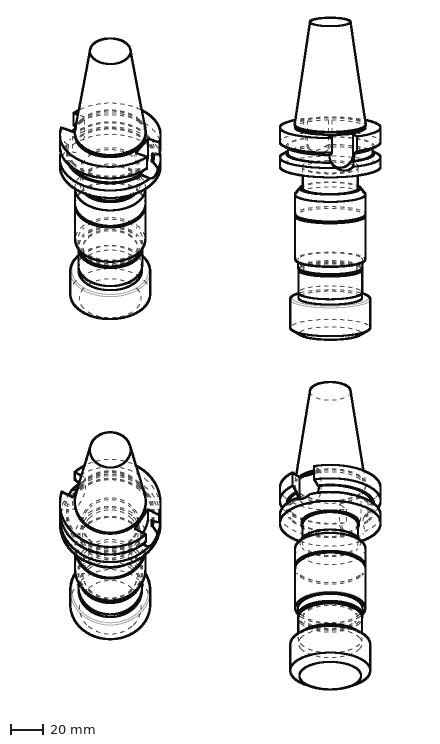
import cadquery as cq
import math

total_height = 198.7

taper_length = 65.4
taper_large_diameter = 44.5
taper_rate = 7 / 24
taper_base_z = total_height - taper_length
taper_small_diameter = taper_large_diameter - taper_rate * taper_length
shank_relief_diameter = 44.0
shank_relief_height = 2.0
shank_relief_chamfer = 0.5

flange_diameter = 63.0
flange_height = 25.0
flange_top_z = taper_base_z - shank_relief_height
flange_bottom_z = flange_top_z - flange_height
lower_rim_height = 6.0
upper_rim_height = 9.3
groove_floor_diameter = 52.9
groove_flank_height = 2.4
groove_flank_angle = 30.0
groove_flank_depth = groove_flank_height / math.tan(math.radians(groove_flank_angle))

slot_width = 16.0
slot_depth = 21.0
slot_floor_x = 22.5

neck_diameter = 34.5
neck_top_chamfer = 0.8

body_diameter = 44.1
body_top_z = 92.5
body_bottom_z = 47.0
body_top_chamfer_width = 3.2
body_top_chamfer_height = 4.0
body_bottom_chamfer_width = 0.2
body_bottom_chamfer_height = 0.8
body_joint_diameter = 44.0
body_joint_top_z = 76.1
body_joint_height = 1.2

collar_diameter = 40.3
collar_bottom_z = 41.5
collar_chamfer = 0.5
parting_groove_diameter = 34.0
sleeve_diameter = 40.0
sleeve_top_z = 40.5
sleeve_bottom_z = 26.0
sleeve_foot_diameter = 39.7

nut_diameter = 50.0
nut_top_z = 22.7
nut_top_fillet = 1.0
nut_bottom_chamfer_width = 5.8
nut_bottom_chamfer_height = 3.5


def ring(diameter, low_z, high_z):
    """Cylinder about Z between two heights."""
    return cq.Workplane("XY").workplane(offset=low_z).circle(diameter / 2).extrude(high_z - low_z)


def revolve_profile(points):
    """Revolve (radius, z) points, listed bottom to top, closed along the Z axis."""
    closed = [(0, points[0][1])] + points + [(0, points[-1][1])]
    return cq.Workplane("XZ").polyline(closed).close().revolve(360, (0, 0), (0, 1))


def make_nut():
    radius = nut_diameter / 2
    nut = revolve_profile([
        (radius - nut_bottom_chamfer_width, 0),
        (radius, nut_bottom_chamfer_height),
        (radius, nut_top_z),
    ])
    return nut.faces(">Z").edges().fillet(nut_top_fillet)


def make_sleeve_and_collar():
    foot = ring(sleeve_foot_diameter, nut_top_z, sleeve_bottom_z)
    sleeve = ring(sleeve_diameter, sleeve_bottom_z, sleeve_top_z)
    parting = ring(parting_groove_diameter, sleeve_top_z, collar_bottom_z)
    collar = ring(collar_diameter, collar_bottom_z, body_bottom_z).faces("<Z").chamfer(collar_chamfer)
    return foot.union(sleeve).union(parting).union(collar)


def make_body():
    radius = body_diameter / 2
    body = revolve_profile([
        (radius - body_bottom_chamfer_width, body_bottom_z),
        (radius, body_bottom_z + body_bottom_chamfer_height),
        (radius, body_top_z - body_top_chamfer_height),
        (radius - body_top_chamfer_width, body_top_z),
    ])
    joint_bottom_z = body_joint_top_z - body_joint_height
    joint_groove = ring(body_diameter, joint_bottom_z, body_joint_top_z).cut(
        ring(body_joint_diameter, joint_bottom_z, body_joint_top_z)
    )
    return body.cut(joint_groove)


def make_neck():
    radius = neck_diameter / 2
    return revolve_profile([
        (radius, body_top_z),
        (radius, flange_bottom_z - neck_top_chamfer),
        (radius + neck_top_chamfer, flange_bottom_z),
    ])


def make_flange():
    radius = flange_diameter / 2
    flank_radius = radius - groove_flank_depth
    floor_radius = groove_floor_diameter / 2
    lower_rim_z = flange_bottom_z + lower_rim_height
    upper_rim_z = flange_top_z - upper_rim_height
    floor_low_z = lower_rim_z + groove_flank_height
    floor_high_z = upper_rim_z - groove_flank_height
    return revolve_profile([
        (radius, flange_bottom_z),
        (radius, lower_rim_z),
        (flank_radius, floor_low_z),
        (floor_radius, floor_low_z),
        (floor_radius, floor_high_z),
        (flank_radius, floor_high_z),
        (radius, upper_rim_z),
        (radius, flange_top_z),
    ])


def make_shank():
    relief_radius = shank_relief_diameter / 2
    return revolve_profile([
        (relief_radius, flange_top_z),
        (relief_radius, taper_base_z - shank_relief_chamfer),
        (taper_large_diameter / 2, taper_base_z),
        (taper_small_diameter / 2, total_height),
    ])


def make_drive_slot(side):
    """Round-bottomed slot cutter, open at the flange top, on the +X or -X side."""
    half_width = slot_width / 2
    slot_bottom_z = flange_top_z - slot_depth
    arc_center_z = slot_bottom_z + half_width
    return (
        cq.Workplane("YZ")
        .workplane(offset=side * slot_floor_x)
        .moveTo(-half_width, flange_top_z)
        .lineTo(-half_width, arc_center_z)
        .threePointArc((0, slot_bottom_z), (half_width, arc_center_z))
        .lineTo(half_width, flange_top_z)
        .close()
        .extrude(side * flange_diameter / 2)
    )


result = make_nut()
for section in (make_sleeve_and_collar(), make_body(), make_neck(), make_flange(), make_shank()):
    result = result.union(section)
for side in (-1, 1):
    result = result.cut(make_drive_slot(side))